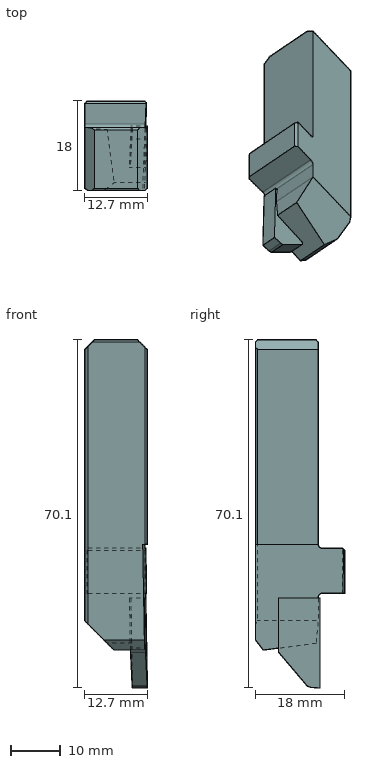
import cadquery as cq
import math

HEIGHT = 70.1
WIDTH = 12.6
DEPTH = 12.7
TOP_BEVEL = 1.95
EDGE_CHAMFER = 0.5
LEFT_CHAMFER = 0.7

NOSE_BOTTOM_Z = 7.65
NOSE_SIDE_BEVEL = 5.95
NOSE_FRONT_BEVEL_Y = 1.6
NOSE_FRONT_BEVEL_Z = 2.1
NOSE_BACK_RISE = 1.4
BACK_TAPER_START_Z = 13.6
BACK_TAPER = 0.4

LUG_BACK_Y = 18.0
LUG_BOTTOM_Z = 19.05
LUG_TOP_Z = 28.2
LUG_ROOT_RADIUS = 0.8

FACE_X = 12.2
FACE_YAW = 2.1
FACE_LEAN = 1.0
RELIEF_TOP_Z = 28.95

INSERT_THICKNESS = 3.0
INSERT_FRONT_Y = 4.6
INSERT_BACK_Y = 13.0
INSERT_TOP_Z = 18.15
INSERT_SHOULDER_Z = 7.3
TIP_FLAT_Y = 11.15
TIP_FLAT_Z = 0.15
TIP_BEVEL_Y = 10.45
TIP_BEVEL_Z = 0.4

REACH = 2 * HEIGHT


def tilted_slab(thickness):
    """Large slab on the tilted face; positive thickness extends outward (+X)."""
    yaw_slope = math.tan(math.radians(FACE_YAW))
    lean_slope = math.tan(math.radians(FACE_LEAN))
    face = cq.Plane(origin=(FACE_X, 0, 0), xDir=(yaw_slope, 1, 0), normal=(1, -yaw_slope, lean_slope))
    return cq.Workplane(face).rect(REACH, REACH).extrude(thickness)


def side_prism(points, width):
    """Extrude a (Y, Z) outline from X = 0 along +X."""
    return cq.Workplane("YZ").polyline(points).close().extrude(width)


def make_front_outline():
    """Holder body with bevelled top corners and a bevelled lower left corner."""
    return (
        cq.Workplane("XZ")
        .polyline([
            (NOSE_SIDE_BEVEL, NOSE_BOTTOM_Z),
            (WIDTH, NOSE_BOTTOM_Z),
            (WIDTH, HEIGHT - TOP_BEVEL),
            (WIDTH - TOP_BEVEL, HEIGHT),
            (TOP_BEVEL, HEIGHT),
            (0, HEIGHT - TOP_BEVEL),
            (0, NOSE_BOTTOM_Z + NOSE_SIDE_BEVEL),
        ])
        .close()
        .extrude(-LUG_BACK_Y)
    )


def make_side_outline():
    """Side shape of the holder, including the lug, sloped nose and back taper."""
    profile = side_prism([
        (NOSE_FRONT_BEVEL_Y, NOSE_BOTTOM_Z),
        (DEPTH - BACK_TAPER, NOSE_BOTTOM_Z + NOSE_BACK_RISE),
        (DEPTH, BACK_TAPER_START_Z),
        (DEPTH, LUG_BOTTOM_Z),
        (LUG_BACK_Y, LUG_BOTTOM_Z),
        (LUG_BACK_Y, LUG_TOP_Z - EDGE_CHAMFER),
        (LUG_BACK_Y - EDGE_CHAMFER, LUG_TOP_Z),
        (DEPTH, LUG_TOP_Z),
        (DEPTH, HEIGHT - EDGE_CHAMFER),
        (DEPTH - EDGE_CHAMFER, HEIGHT),
        (EDGE_CHAMFER, HEIGHT),
        (0, HEIGHT - EDGE_CHAMFER),
        (0, NOSE_BOTTOM_Z + NOSE_FRONT_BEVEL_Z),
    ], WIDTH)
    for root_z in (LUG_BOTTOM_Z, LUG_TOP_Z):
        root = cq.selectors.NearestToPointSelector((WIDTH / 2, DEPTH, root_z))
        profile = profile.edges(root).fillet(LUG_ROOT_RADIUS)
    return profile


def make_plan_outline():
    """Outline in X and Y that chamfers the upright front and lug corners."""
    return (
        cq.Workplane("XY")
        .polyline([
            (LEFT_CHAMFER, 0),
            (WIDTH - EDGE_CHAMFER, 0),
            (WIDTH, EDGE_CHAMFER),
            (WIDTH, LUG_BACK_Y - EDGE_CHAMFER),
            (WIDTH - EDGE_CHAMFER, LUG_BACK_Y),
            (EDGE_CHAMFER, LUG_BACK_Y),
            (0, LUG_BACK_Y - EDGE_CHAMFER),
            (0, EDGE_CHAMFER),
        ])
        .close()
        .extrude(HEIGHT)
    )


def make_insert():
    """Flat insert parallel to the tilted face, with a pointed lower end."""
    outline = side_prism([
        (INSERT_BACK_Y, 0),
        (INSERT_BACK_Y, INSERT_TOP_Z),
        (INSERT_FRONT_Y, INSERT_TOP_Z),
        (INSERT_FRONT_Y, INSERT_SHOULDER_Z),
        (TIP_BEVEL_Y, TIP_BEVEL_Z),
        (TIP_FLAT_Y, TIP_FLAT_Z),
    ], REACH)
    return outline.intersect(tilted_slab(-INSERT_THICKNESS))


def make_holder(insert):
    """Holder with the tilted side relief and a pocket that fits the insert."""
    body = make_front_outline().intersect(make_side_outline()).intersect(make_plan_outline())
    below_relief_top = cq.Workplane("XY").rect(REACH, REACH).extrude(RELIEF_TOP_Z)
    relief = tilted_slab(REACH).intersect(below_relief_top)
    return body.cut(relief).cut(insert)


insert = make_insert()
holder = make_holder(insert)

result = cq.Compound.makeCompound([holder.solids().val(), insert.solids().val()])